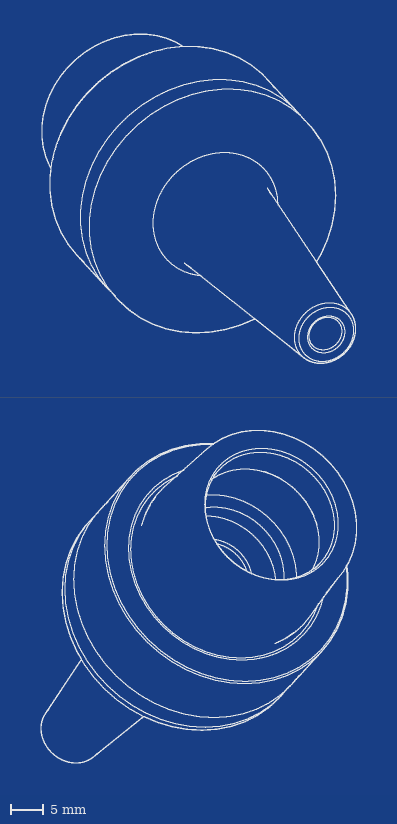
import cadquery as cq
import math

total_length = 89.9
body_radius = 20.0

shank_end_radius = 14.2
shank_round = 0.6
taper_end_x = 17.9
taper_end_radius = 15.1
relief_start_x = 18.7
relief_end_x = 19.3
relief_radius = 14.9

body_face_x = 19.9
undercut_round = 0.8
undercut_outer_radius = 16.2

body_chamfer = 0.3
groove_start_x = 34.0
groove_end_x = 37.9
groove_flat_width = 0.6
groove_round = 0.9
groove_flank_angle = math.radians(65)
flange_end_x = 39.9
flange_round = 0.9

blend_outer_radius = 10.25
neck_x = 42.5
neck_radius = 8.7
tip_radius = 5.0
tip_chamfer = 0.5

mouth_chamfer_length = 0.7
mouth_chamfer_depth = 0.4
bore_radius = 10.6
bore_end_x = 7.55
pocket_crown_x = 11.15
pocket_crown_radius = 12.2
pocket_arc_end_x = 14.7
pocket_radius = 12.05
pocket_end_x = 21.6
inner_bore_radius = 10.0
inner_bore_end_x = 25.2
counterbore_radius = 5.7
counterbore_chamfer = 0.45
counterbore_end_x = 34.2
through_radius = 2.7
through_chamfer = 0.4


def revolve_about_x(profile):
    return profile.close().revolve(360, (0, 0, 0), (1, 0, 0))


def make_outside():
    round_dx = groove_round * math.sin(groove_flank_angle)
    round_rise = groove_round * (1 - math.cos(groove_flank_angle))
    groove_center_x = (groove_start_x + groove_end_x) / 2
    flat_start_x = groove_center_x - groove_flat_width / 2
    flat_end_x = groove_center_x + groove_flat_width / 2
    flank_width = flat_start_x - round_dx - groove_start_x
    flank_end_radius = body_radius - flank_width * math.tan(groove_flank_angle)
    groove_bottom_radius = flank_end_radius - round_rise

    undercut_x = relief_end_x + undercut_round
    undercut_radius = relief_radius + undercut_round

    profile = (
        cq.Workplane("XY")
        .moveTo(total_length, 0)
        .lineTo(total_length, tip_radius - tip_chamfer)
        .lineTo(total_length - tip_chamfer, tip_radius)
        .lineTo(neck_x, neck_radius)
        .tangentArcPoint((flange_end_x, blend_outer_radius), relative=False)
        .lineTo(flange_end_x, body_radius - flange_round)
        .tangentArcPoint((flange_end_x - flange_round, body_radius), relative=False)
        .lineTo(groove_end_x, body_radius)
        .lineTo(flat_end_x + round_dx, flank_end_radius)
        .tangentArcPoint((flat_end_x, groove_bottom_radius), relative=False)
        .lineTo(flat_start_x, groove_bottom_radius)
        .tangentArcPoint((flat_start_x - round_dx, flank_end_radius), relative=False)
        .lineTo(groove_start_x, body_radius)
        .lineTo(body_face_x + body_chamfer, body_radius)
        .lineTo(body_face_x, body_radius - body_chamfer)
        .lineTo(body_face_x, undercut_outer_radius)
        .lineTo(undercut_x, undercut_radius)
        .radiusArc((relief_end_x, relief_radius), undercut_round)
        .lineTo(relief_start_x, relief_radius)
        .lineTo(taper_end_x, taper_end_radius)
        .lineTo(shank_round, shank_end_radius)
        .radiusArc((0, shank_end_radius - shank_round), -shank_round)
        .lineTo(0, 0)
    )
    return revolve_about_x(profile)


def make_bores():
    profile = (
        cq.Workplane("XY")
        .moveTo(0, 0)
        .lineTo(0, bore_radius + mouth_chamfer_depth)
        .lineTo(mouth_chamfer_length, bore_radius)
        .lineTo(bore_end_x, bore_radius)
        .threePointArc((pocket_crown_x, pocket_crown_radius), (pocket_arc_end_x, pocket_radius))
        .lineTo(pocket_end_x, pocket_radius)
        .lineTo(pocket_end_x, inner_bore_radius)
        .lineTo(inner_bore_end_x, inner_bore_radius)
        .lineTo(inner_bore_end_x, counterbore_radius + counterbore_chamfer)
        .lineTo(inner_bore_end_x + counterbore_chamfer, counterbore_radius)
        .lineTo(counterbore_end_x, counterbore_radius)
        .lineTo(counterbore_end_x, through_radius + through_chamfer)
        .lineTo(counterbore_end_x + through_chamfer, through_radius)
        .lineTo(total_length - through_chamfer, through_radius)
        .lineTo(total_length, through_radius + through_chamfer)
        .lineTo(total_length, 0)
    )
    return revolve_about_x(profile)


result = make_outside().cut(make_bores())